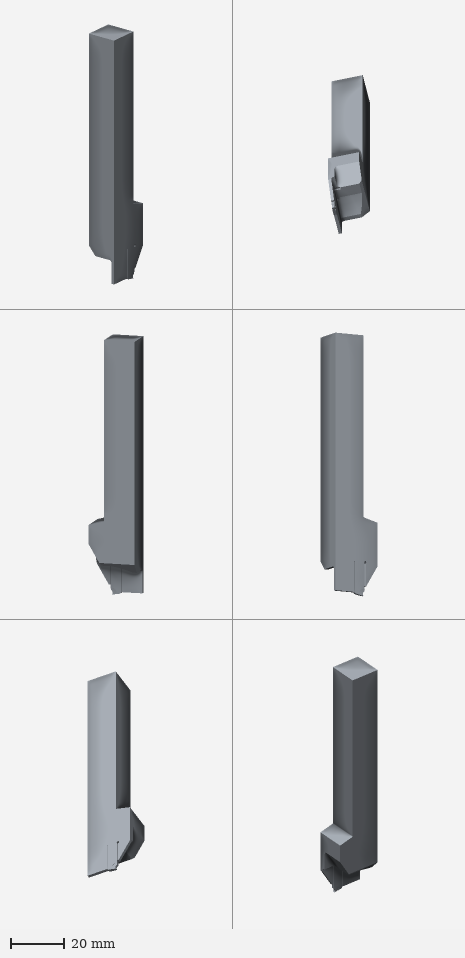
import cadquery as cq

THICKNESS = 12.0
LENGTH = 100.0
SHANK_DEPTH = 12.0
HEAD_DEPTH = 18.0

SHOULDER_TOP = 30.2
SHOULDER_EDGE = 28.6
SHOULDER_FILLET = 0.4
SLOPE_TOP = 21.2
SLOPE_END_Y = 13.1
HEAD_BOTTOM = 13.0
FLAT_LENGTH = 1.5
FLAT_BOTTOM = 10.6
ARC_MIDDLE = (5.0, 12.0)
ARC_END_Y = 9.0
CHAMFER_WIDTH = 3.1
CHAMFER_TOP = 14.2

BLADE_THICKNESS = 1.2
BLADE_BOTTOM = 1.2
BLADE_FILLET = 1.0
FINGER_BOTTOM = 3.8
FINGER_END_Y = 13.2
FINGER_EDGE = 11.8

STEP_HEIGHT = 1.3
STEP_BOTTOM = 13.2
STEP_FILLET = 1.2

INSERT_BACK = 8.5
INSERT_FRONT = 12.5
HEEL_BOTTOM = 0.6
HEEL_CHAMFER = 0.3
TIP_Y = 12.1
RAKE_TOP = 1.8
RAKE_MIDDLE = (11.8, 0.8)
SIDE_RELIEF_CENTRE = (11.7, 1.2)
SIDE_RELIEF_RADIUS = 1.4
SIDE_RELIEF_DEPTH = 0.1

SEAT_CHAMFER_WIDTH = 0.3
SEAT_CHAMFER_DEPTH = 0.4
RELIEF_HOLE_RADIUS = 0.5
RELIEF_HOLE_CENTRE = (12.8, 12.9)

BLADE_X = THICKNESS - BLADE_THICKNESS
STEP_X = BLADE_X - STEP_HEIGHT


def plate(x):
    """Sketch plane parallel to YZ at the given X; its own axes are Y and Z."""
    return cq.Workplane("YZ", origin=(x, 0, 0))


def fillet_edge_near(body, point, radius):
    return body.edges(cq.selectors.NearestToPointSelector(point)).fillet(radius)


def make_shank_and_head():
    body = (
        plate(0)
        .moveTo(0, LENGTH)
        .lineTo(0, FLAT_BOTTOM)
        .lineTo(FLAT_LENGTH, FLAT_BOTTOM)
        .threePointArc(ARC_MIDDLE, (ARC_END_Y, HEAD_BOTTOM))
        .lineTo(SLOPE_END_Y, HEAD_BOTTOM)
        .lineTo(HEAD_DEPTH, SLOPE_TOP)
        .lineTo(HEAD_DEPTH, SHOULDER_EDGE)
        .lineTo(SHANK_DEPTH, SHOULDER_TOP)
        .lineTo(SHANK_DEPTH, LENGTH)
        .close()
        .extrude(THICKNESS)
    )
    return fillet_edge_near(body, (THICKNESS / 2, SHANK_DEPTH, SHOULDER_TOP), SHOULDER_FILLET)


def make_head_chamfer():
    """Wedge that bevels the lower -X edge of the head, continued down to Z = 0."""
    wedge_width = CHAMFER_WIDTH * CHAMFER_TOP / (CHAMFER_TOP - FLAT_BOTTOM)
    return (
        cq.Workplane("XZ")
        .polyline([(0, CHAMFER_TOP), (wedge_width, 0), (0, 0)])
        .close()
        .extrude(-HEAD_DEPTH)
    )


def make_blade():
    return (
        plate(BLADE_X)
        .polyline([
            (0, BLADE_BOTTOM),
            (INSERT_BACK, BLADE_BOTTOM),
            (INSERT_FRONT, FINGER_BOTTOM),
            (FINGER_END_Y, FINGER_BOTTOM),
            (HEAD_DEPTH, FINGER_EDGE),
            (HEAD_DEPTH, SLOPE_TOP),
            (0, SLOPE_TOP),
        ])
        .close()
        .extrude(BLADE_THICKNESS)
    )


def make_step():
    return (
        plate(STEP_X)
        .moveTo(SLOPE_END_Y, STEP_BOTTOM)
        .lineTo(HEAD_DEPTH, STEP_BOTTOM)
        .lineTo(HEAD_DEPTH, SLOPE_TOP)
        .lineTo(SLOPE_END_Y, SLOPE_TOP)
        .close()
        .extrude(THICKNESS - STEP_X)
    )


def make_insert_seat():
    """Straight slot along Z with chamfered edges, also cutting away the fillet under the head."""
    clear_x = BLADE_X - BLADE_FILLET
    wide_back = INSERT_BACK - SEAT_CHAMFER_WIDTH
    wide_front = INSERT_FRONT + SEAT_CHAMFER_WIDTH
    near_x = BLADE_X + SEAT_CHAMFER_DEPTH
    far_x = THICKNESS - SEAT_CHAMFER_DEPTH
    return (
        cq.Workplane("XY")
        .polyline([
            (clear_x, wide_back),
            (BLADE_X, wide_back),
            (near_x, INSERT_BACK),
            (far_x, INSERT_BACK),
            (THICKNESS, wide_back),
            (THICKNESS, wide_front),
            (far_x, INSERT_FRONT),
            (near_x, INSERT_FRONT),
            (BLADE_X, wide_front),
            (clear_x, wide_front),
        ])
        .close()
        .extrude(HEAD_BOTTOM)
    )


def make_relief_hole():
    depth = THICKNESS - STEP_X + BLADE_FILLET
    return plate(THICKNESS - depth).moveTo(*RELIEF_HOLE_CENTRE).circle(RELIEF_HOLE_RADIUS).extrude(depth)


def make_holder():
    step_edge = (BLADE_X, (SLOPE_END_Y + HEAD_DEPTH) / 2, STEP_BOTTOM)
    slope_edge = (STEP_X, (SLOPE_END_Y + HEAD_DEPTH) / 2, (HEAD_BOTTOM + SLOPE_TOP) / 2)
    flat_edge = (BLADE_X, FLAT_LENGTH / 2, FLAT_BOTTOM)
    arc_edge = (BLADE_X, *ARC_MIDDLE)

    blade = fillet_edge_near(make_blade().union(make_step()), step_edge, STEP_FILLET)
    body = make_shank_and_head().cut(make_head_chamfer()).union(blade)
    body = fillet_edge_near(body, slope_edge, BLADE_FILLET)
    under_head = body.edges(cq.selectors.NearestToPointSelector(flat_edge))
    under_head = under_head.add(body.edges(cq.selectors.NearestToPointSelector(arc_edge)))
    body = under_head.fillet(BLADE_FILLET)
    return body.cut(make_insert_seat()).cut(make_relief_hole())


def make_insert():
    body = (
        plate(BLADE_X)
        .moveTo(INSERT_FRONT, HEAD_BOTTOM)
        .lineTo(INSERT_FRONT, RAKE_TOP)
        .threePointArc(RAKE_MIDDLE, (TIP_Y, 0))
        .lineTo(INSERT_BACK + HEEL_CHAMFER, HEEL_BOTTOM)
        .lineTo(INSERT_BACK, HEEL_BOTTOM + HEEL_CHAMFER)
        .lineTo(INSERT_BACK, HEAD_BOTTOM)
        .close()
        .extrude(BLADE_THICKNESS)
    )
    for x in (BLADE_X, THICKNESS - SIDE_RELIEF_DEPTH):
        relief = plate(x).moveTo(*SIDE_RELIEF_CENTRE).circle(SIDE_RELIEF_RADIUS).extrude(SIDE_RELIEF_DEPTH)
        body = body.cut(relief)
    return body


holder = make_holder()
insert = make_insert()
result = cq.Compound.makeCompound([holder.val(), insert.val()])